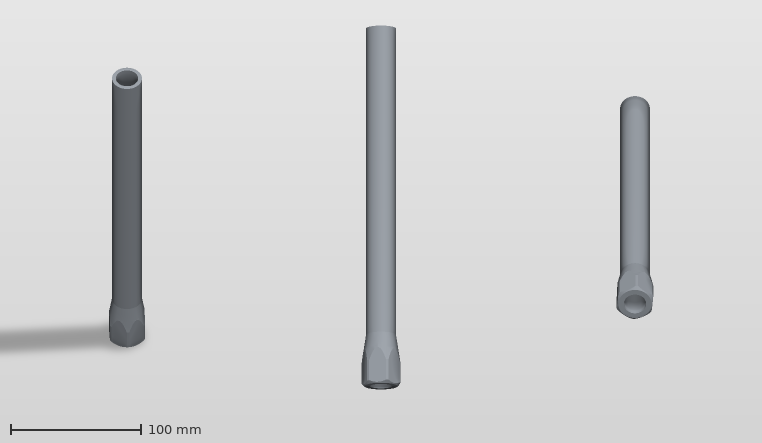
import cadquery as cq

LENGTH = 280.5
TUBE_DIAMETER = 23.0
BORE_DIAMETER = 17.0

NUT_HEIGHT = 40.5
ACROSS_FLATS = 27.0
CORNER_DIAMETER = 30.0
TAPER_START = 18.2
CHAMFER = 2.2


def make_nut():
    """Hexagon with flats facing +X and -X, trimmed by a turned profile."""
    corner_radius = CORNER_DIAMETER / 2
    turned_blank = (
        cq.Workplane("XZ")
        .moveTo(0, 0)
        .lineTo(corner_radius - CHAMFER, 0)
        .lineTo(corner_radius, CHAMFER)
        .lineTo(corner_radius, TAPER_START)
        .lineTo(TUBE_DIAMETER / 2, NUT_HEIGHT)
        .lineTo(0, NUT_HEIGHT)
        .close()
        .revolve(360, (0, 0, 0), (0, 1, 0))
    )
    hexagon = (
        cq.Workplane("XY")
        .polygon(6, ACROSS_FLATS, circumscribed=True)
        .extrude(NUT_HEIGHT)
    )
    return turned_blank.intersect(hexagon)


tube = (
    cq.Workplane("XY", origin=(0, 0, NUT_HEIGHT))
    .circle(TUBE_DIAMETER / 2)
    .extrude(LENGTH - NUT_HEIGHT)
)
bore = cq.Workplane("XY").circle(BORE_DIAMETER / 2).extrude(LENGTH)

result = make_nut().union(tube).cut(bore)